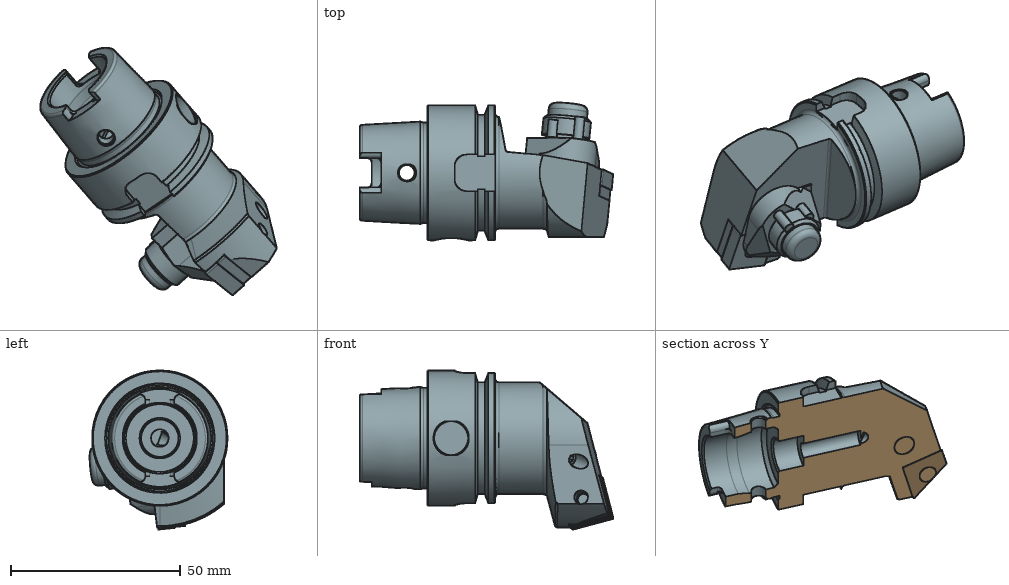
import cadquery as cq
import math


SHANK_LENGTH = 20.0
SHANK_TIP_RADIUS = 14.2
SHANK_TIP_ROUND = 0.8
TAPER_END_X = -2.1
TAPER_END_RADIUS = 15.15
RELIEF_START_X = -1.3
RELIEF_RADIUS = 14.9
MOUTH_RADIUS = 11.0
BORE_RADIUS = 10.5
MOUTH_CHAMFER = MOUTH_RADIUS - BORE_RADIUS
UNDERCUT_START_X = -12.5
UNDERCUT_RADIUS = 11.2
UNDERCUT_LEAD = 3.5
UNDERCUT_FLOOR_LEAD = 1.2
BORE_FLOOR_X = 0.0
BORE_FLOOR_RADIUS = 10.0
SOCKET_RADIUS = 6.0
SOCKET_CHAMFER = 0.5
SOCKET_FLOOR_X = 8.0
COOLANT_BORE_RADIUS = 2.6
KEYWAY_WIDTH = 8.6
TOP_KEYWAY_FLOOR_X = -13.7
BOTTOM_KEYWAY_FLOOR_X = -16.5
KEYWAY_FLOOR_ROUND = 1.2
KEYWAY_EDGE_ROUND = 1.6
KEYWAY_RIM_Z = 12.9
FLARE_OVERRUN = 2.0
ACCESS_HOLE_X = -6.1
ACCESS_HOLE_DIAMETER = 4.6
ACCESS_SINK_DIAMETER = 5.6
ACCESS_SINK_DEPTH = 0.5

FLANGE_RADIUS = 20.0
FLANGE_LENGTH = 20.0
FLANGE_CHAMFER = 0.3
FACE_RECESS_RADIUS = 16.2
FACE_RECESS_DEPTH = 0.5
GROOVE_RADIUS = 17.2
GROOVE_START_X = 14.05
GROOVE_FLOOR_START_X = 14.9
GROOVE_FLOOR_END_X = 16.85
GROOVE_END_X = 18.0
DRIVE_SLOT_START_X = 8.0
DRIVE_SLOT_WIDTH = 10.8
DRIVE_SLOT_CORNER = 3.6
CHIP_HOLE_X = 7.0
CHIP_HOLE_DIAMETER = 10.0
CHIP_HOLE_DEPTH = 4.6
CHIP_HOLE_CHAMFER = 0.25

NECK_RADIUS = 16.5
NECK_END_X = 34.0
NECK_ROUND = 1.1
DRIVE_SLOT_FLOOR_Z = NECK_RADIUS
HEAD_CONE_ANGLE = 15.0
HEAD_CONE_RADIUS = 30.0
HEAD_END_X = 60.0
HEAD_FRONT_Y = -19.0
HEAD_SHOULDER_Z = -2.0
HEAD_SHOULDER_RADIUS = abs(HEAD_FRONT_Y)
HEAD_BOTTOM_Z = -26.4
HEAD_BOTTOM_RADIUS = 29.1
HEAD_RIM_CHAMFER = 0.5
SLANT_START_X = 33.1
SLANT_ANGLE = 40.5
BACK_WALL_X = 22.8
BACK_WALL_DRAFT = 15.0
BACK_WALL_ROUND = 0.8

RAKE_SLOPE = 0.0963
APPROACH_ANGLE = 15.0
INSERT_SIDE = 12.7
INSERT_THICKNESS = 4.76
INSERT_CORNER = 0.4
SHIM_THICKNESS = 3.18
SHIM_MARGIN = 0.3
SEAT_FLOOR = -INSERT_THICKNESS - SHIM_THICKNESS
INSERT_STANDS_PROUD = 0.13
NOSE_POINT = cq.Vector(54.94, -0.45, -23.81)
HEAD_EDGE_SETBACK = 0.35
SHIM_PIN_DIAMETER = 5.0
SHIM_SCREW_DIAMETER = 3.4
SHIM_SCREW_HOLE_DIAMETER = 4.0
SHIM_SCREW_LENGTH = 4.5

CLAMP_AXIS_X = 40.0
CLAMP_AXIS_Z = -6.78
CLAMP_HEIGHT = 7.0
CLAMP_RADIUS = 9.5
CLAMP_NOSE_CENTRE = (3.7, 8.7)
CLAMP_NOSE_RADIUS = 7.0
CLAMP_TAIL_LENGTH = 11.3
CLAMP_TAIL_HALF_WIDTH = 6.5
CLAMP_SLOPE_HEADINGS_AND_SPANS = ((65.0, 9.9, 16.4), (15.0, 7.5, 14.0), (225.0, 5.4, 10.6))
CLAMP_SLOPE_FOOT = 0.5
COLLAR_GAP = 1.1
COLLAR_RADIUS = 7.08
COLLAR_HEIGHT = 5.7
COLLAR_CHAMFER = 0.9
CAP_RADIUS = 5.8
CAP_HEIGHT = 3.95
CAP_ROUND = 1.9
CLAMP_SCREW_RADIUS = 3.0
CLAMP_SCREW_DEPTH = 12.0
PIN_RADIUS = 1.5
PIN_CIRCLE_RADIUS = 7.0
PIN_ANGLES_AND_HEIGHTS = ((-125.0, 5.1), (-59.0, 6.7))

OUTLET_POINT = cq.Vector(44.6, HEAD_FRONT_Y, -6.9)
OUTLET_JUNCTION = cq.Vector(26.0, 0, 0)
OUTLET_DIAMETER = 4.0
OUTLET_OVERRUN = 4.0
PLUG_SETBACK = 3.4
PLUG_LENGTH = 4.0
PLUG_HEX = 2.0
PLUG_HEX_DEPTH = 2.0

LARGE = 60.0

seat_normal = cq.Vector(RAKE_SLOPE, 1, -RAKE_SLOPE).normalized()
seat_along = cq.Vector(1, -RAKE_SLOPE, 0).normalized()
seat_up = seat_along.cross(seat_normal)
approach = math.radians(APPROACH_ANGLE)
minor_edge = cq.Vector(
    -math.cos(approach),
    RAKE_SLOPE * (math.cos(approach) - math.sin(approach)),
    -math.sin(approach),
).normalized()

insert_plane = cq.Plane(NOSE_POINT, minor_edge, seat_normal)
back_origin = NOSE_POINT - seat_normal * INSERT_STANDS_PROUD
insert_centre = (INSERT_SIDE / 2, INSERT_SIDE / 2)

clamp_offset = cq.Vector(CLAMP_AXIS_X, NOSE_POINT.y, CLAMP_AXIS_Z) - NOSE_POINT
clamp_base_y = NOSE_POINT.y - clamp_offset.dot(seat_normal) / seat_normal.y
clamp_plane = cq.Plane(cq.Vector(CLAMP_AXIS_X, clamp_base_y, CLAMP_AXIS_Z), seat_along, seat_normal)
outward_selector = cq.selectors.DirectionMinMaxSelector(seat_normal)


def insert_box(x_range, y_range, z_range):
    """Box given by ranges in the insert frame."""
    spans = [high - low for low, high in (x_range, y_range, z_range)]
    corner = (x_range[0], y_range[0], z_range[0])
    return cq.Workplane(insert_plane).box(*spans, centered=False).translate(
        insert_plane.toWorldCoords(corner) - insert_plane.origin
    )


def seat_cylinder(plane, centre, radius, low, high):
    """Cylinder standing along the local z of a plane, from low to high."""
    return cq.Workplane(plane).center(*centre).workplane(offset=low).circle(radius).extrude(high - low)


def x_slab(x_start, x_end, z_start, z_end, width):
    """Box symmetric about Y = 0."""
    return cq.Workplane("XY").box(x_end - x_start, width, z_end - z_start).translate(
        ((x_start + x_end) / 2, 0, (z_start + z_end) / 2)
    )


def turned_holder():
    """Shank, flange and neck as one revolved profile."""
    round_mid = SHANK_TIP_ROUND * (1 - math.sqrt(0.5))
    neck_mid = NECK_ROUND * (1 - math.sqrt(0.5))
    profile = (
        cq.Workplane("XY")
        .moveTo(-SHANK_LENGTH, 0)
        .lineTo(-SHANK_LENGTH, SHANK_TIP_RADIUS - SHANK_TIP_ROUND)
        .threePointArc(
            (-SHANK_LENGTH + round_mid, SHANK_TIP_RADIUS - round_mid),
            (-SHANK_LENGTH + SHANK_TIP_ROUND, SHANK_TIP_RADIUS),
        )
        .lineTo(TAPER_END_X, TAPER_END_RADIUS)
        .lineTo(RELIEF_START_X, RELIEF_RADIUS)
        .lineTo(FACE_RECESS_DEPTH, RELIEF_RADIUS)
        .lineTo(FACE_RECESS_DEPTH, FACE_RECESS_RADIUS - FACE_RECESS_DEPTH)
        .lineTo(0, FACE_RECESS_RADIUS)
        .lineTo(0, FLANGE_RADIUS - FLANGE_CHAMFER)
        .lineTo(FLANGE_CHAMFER, FLANGE_RADIUS)
        .lineTo(GROOVE_START_X, FLANGE_RADIUS)
        .lineTo(GROOVE_FLOOR_START_X, GROOVE_RADIUS)
        .lineTo(GROOVE_FLOOR_END_X, GROOVE_RADIUS)
        .lineTo(GROOVE_END_X, FLANGE_RADIUS)
        .lineTo(FLANGE_LENGTH - FLANGE_CHAMFER, FLANGE_RADIUS)
        .lineTo(FLANGE_LENGTH, FLANGE_RADIUS - FLANGE_CHAMFER)
        .lineTo(FLANGE_LENGTH, NECK_RADIUS + NECK_ROUND)
        .threePointArc(
            (FLANGE_LENGTH + neck_mid, NECK_RADIUS + neck_mid),
            (FLANGE_LENGTH + NECK_ROUND, NECK_RADIUS),
        )
        .lineTo(NECK_END_X, NECK_RADIUS)
        .lineTo(NECK_END_X + NECK_ROUND, NECK_RADIUS + neck_mid)
        .lineTo(HEAD_END_X, NECK_RADIUS + neck_mid)
        .lineTo(HEAD_END_X, 0)
        .close()
    )
    return profile.revolve(360, (0, 0, 0), (1, 0, 0))


def head_block():
    """Widened head: cone-backed below the axis, flat at -Y, rounded over its shoulder."""
    cone_start_x = NECK_END_X + NECK_ROUND
    cone_end_x = cone_start_x + (HEAD_CONE_RADIUS - NECK_RADIUS) * math.tan(math.radians(HEAD_CONE_ANGLE))
    outline = [
        (cone_start_x, 0),
        (cone_start_x, -NECK_RADIUS),
        (cone_end_x, -HEAD_CONE_RADIUS),
        (HEAD_END_X, -HEAD_CONE_RADIUS),
        (HEAD_END_X, 0),
    ]
    cone_side = cq.Workplane("XZ").polyline(outline).close().revolve(360, (0, 0, 0), (1, 0, 0))
    front_half = cq.Workplane("XY").box(2 * LARGE, LARGE, 2 * LARGE).translate((0, -LARGE / 2, 0))
    cone_side = cone_side.intersect(front_half)
    flat_side = cq.Workplane("XZ").polyline(outline).close().extrude(-NECK_RADIUS)

    section = cq.Workplane("YZ").center(0, HEAD_SHOULDER_Z).circle(HEAD_SHOULDER_RADIUS).extrude(HEAD_END_X)
    lower = x_slab(0, HEAD_END_X, -HEAD_CONE_RADIUS, HEAD_SHOULDER_Z, 2 * HEAD_SHOULDER_RADIUS)
    bottom_arc = (
        cq.Workplane("YZ")
        .center(0, HEAD_BOTTOM_Z + HEAD_BOTTOM_RADIUS)
        .circle(HEAD_BOTTOM_RADIUS)
        .extrude(HEAD_END_X)
    )
    head = cone_side.union(flat_side).intersect(section.union(lower)).intersect(bottom_arc)
    rim_point = (cone_end_x, HEAD_FRONT_Y / 2, HEAD_BOTTOM_Z)
    return head.edges(cq.selectors.NearestToPointSelector(rim_point)).chamfer(HEAD_RIM_CHAMFER)


def slant_cut():
    """Wedge taken off the top of the head."""
    drop = math.tan(math.radians(SLANT_ANGLE)) * LARGE
    return (
        cq.Workplane("XZ")
        .polyline(
            [
                (SLANT_START_X, NECK_RADIUS),
                (SLANT_START_X + LARGE, NECK_RADIUS - drop),
                (SLANT_START_X + LARGE, LARGE),
                (SLANT_START_X, LARGE),
            ]
        )
        .close()
        .extrude(LARGE, both=True)
    )


def back_cut():
    """Relief of the +Y side, its floor parallel to the rake face."""
    wall_offset = (BACK_WALL_X - back_origin.x) / seat_along.x
    corner = back_origin + seat_along * wall_offset
    lean = LARGE * math.tan(math.radians(BACK_WALL_DRAFT))
    return (
        cq.Workplane(cq.Plane(back_origin, seat_along, seat_up))
        .polyline([(wall_offset, 0), (LARGE, 0), (LARGE, LARGE), (wall_offset - lean, LARGE)])
        .close()
        .extrude(LARGE, both=True)
        .edges(cq.selectors.NearestToPointSelector(corner.toTuple()))
        .fillet(BACK_WALL_ROUND)
    )


def shank_bore():
    """Stepped bore of the hollow shank and the coolant bore behind it."""
    outline = [
        (-SHANK_LENGTH, 0),
        (-SHANK_LENGTH, MOUTH_RADIUS),
        (-SHANK_LENGTH + MOUTH_CHAMFER, BORE_RADIUS),
        (UNDERCUT_START_X, BORE_RADIUS),
        (UNDERCUT_START_X + UNDERCUT_LEAD, UNDERCUT_RADIUS),
        (BORE_FLOOR_X - UNDERCUT_FLOOR_LEAD, UNDERCUT_RADIUS),
        (BORE_FLOOR_X, BORE_FLOOR_RADIUS),
        (BORE_FLOOR_X, SOCKET_RADIUS),
        (BORE_FLOOR_X + SOCKET_CHAMFER, SOCKET_RADIUS - SOCKET_CHAMFER),
        (SOCKET_FLOOR_X, SOCKET_RADIUS - SOCKET_CHAMFER),
        (SOCKET_FLOOR_X, COOLANT_BORE_RADIUS),
        (OUTLET_JUNCTION.x, COOLANT_BORE_RADIUS),
        (OUTLET_JUNCTION.x, 0),
    ]
    return cq.Workplane("XY").polyline(outline).close().revolve(360, (0, 0, 0), (1, 0, 0))


def shank_keyway(floor_x, side):
    """Open keyway through the shank wall on the +Z or -Z side, flared at its outer edges."""
    start_x = -SHANK_LENGTH - KEYWAY_WIDTH
    slot = x_slab(start_x, floor_x, 0, LARGE, KEYWAY_WIDTH).edges(">X and |Z").fillet(KEYWAY_FLOOR_ROUND)
    half = KEYWAY_WIDTH / 2
    flare_half = half + KEYWAY_EDGE_ROUND
    flare_base = KEYWAY_RIM_Z - KEYWAY_EDGE_ROUND
    mid = KEYWAY_EDGE_ROUND * (1 - math.sqrt(0.5))
    flare = (
        cq.Workplane("YZ", origin=(start_x, 0, 0))
        .moveTo(-half, flare_base)
        .lineTo(half, flare_base)
        .threePointArc((half + mid, KEYWAY_RIM_Z - mid), (flare_half, KEYWAY_RIM_Z))
        .lineTo(flare_half, SHANK_TIP_RADIUS + FLARE_OVERRUN)
        .lineTo(-flare_half, SHANK_TIP_RADIUS + FLARE_OVERRUN)
        .lineTo(-flare_half, KEYWAY_RIM_Z)
        .threePointArc((-half - mid, KEYWAY_RIM_Z - mid), (-half, flare_base))
        .close()
        .extrude(floor_x - start_x)
    )
    keyway = slot.union(flare)
    return keyway if side > 0 else keyway.mirror("XY")


def drive_slots():
    """Flat-floored driving slots at the top and bottom of the flange."""
    slot = x_slab(DRIVE_SLOT_START_X, FLANGE_LENGTH, DRIVE_SLOT_FLOOR_Z, LARGE, DRIVE_SLOT_WIDTH)
    slot = slot.edges("<X and |Z").fillet(DRIVE_SLOT_CORNER)
    return slot.union(slot.mirror("XY"))


def access_holes():
    """Radial hole through both shank walls, countersunk on the outside."""
    hole = cq.Workplane("XY").circle(ACCESS_HOLE_DIAMETER / 2).extrude(LARGE, both=True)
    taper_slope = (TAPER_END_RADIUS - SHANK_TIP_RADIUS) / (TAPER_END_X + SHANK_LENGTH - SHANK_TIP_ROUND)
    surface_radius = TAPER_END_RADIUS - taper_slope * (TAPER_END_X - ACCESS_HOLE_X)
    sink = (
        cq.Workplane("XY", origin=(0, 0, surface_radius - ACCESS_SINK_DEPTH))
        .circle(ACCESS_HOLE_DIAMETER / 2)
        .workplane(offset=ACCESS_SINK_DEPTH)
        .circle(ACCESS_SINK_DIAMETER / 2)
        .loft()
    )
    return hole.union(sink).union(sink.mirror("XY")).translate((ACCESS_HOLE_X, 0, 0))


def chip_hole():
    """Blind pocket for a data chip in the -Y side of the flange."""
    rim = CHIP_HOLE_DIAMETER / 2 + CHIP_HOLE_CHAMFER
    edge_depth = math.sqrt(FLANGE_RADIUS**2 - (CHIP_HOLE_DIAMETER / 2) ** 2)
    axis_plane = cq.Workplane("XZ", origin=(CHIP_HOLE_X, 0, 0))
    floor = axis_plane.workplane(offset=FLANGE_RADIUS - CHIP_HOLE_DEPTH)
    pocket = floor.circle(CHIP_HOLE_DIAMETER / 2).extrude(LARGE)
    lip = axis_plane.workplane(offset=edge_depth).circle(rim).extrude(LARGE)
    return pocket.union(lip)


outlet_axis = (OUTLET_JUNCTION - OUTLET_POINT).normalized()
outlet_plane = cq.Plane(OUTLET_POINT, cq.Vector(0, 0, 1).cross(outlet_axis), outlet_axis)
outlet_length = (OUTLET_JUNCTION - OUTLET_POINT).Length


def insert_pocket():
    """Clearance along both cutting edges and the seat for the shim and insert."""
    setback = HEAD_EDGE_SETBACK
    open_corner = (-INSERT_SIDE, INSERT_SIDE)
    main_edge_side = insert_box((-LARGE, setback), (-LARGE, LARGE), (-LARGE, LARGE))
    minor_edge_side = insert_box((-LARGE, INSERT_SIDE), (-LARGE, setback), (-LARGE, LARGE))
    seat = insert_box(open_corner, open_corner, (SEAT_FLOOR, LARGE))
    return main_edge_side.union(minor_edge_side).union(seat)


def shim_screw_hole():
    """Hole for the shim screw, wider from the screw tip out to the -Y face."""
    screw_end = SEAT_FLOOR - SHIM_SCREW_LENGTH
    tapped = seat_cylinder(insert_plane, insert_centre, SHIM_SCREW_DIAMETER / 2, screw_end, SEAT_FLOOR)
    relief = seat_cylinder(insert_plane, insert_centre, SHIM_SCREW_HOLE_DIAMETER / 2, -LARGE, screw_end)
    return tapped.union(relief)


def outlet_hole():
    """Tilted coolant hole from the -Y face of the head to the coolant bore."""
    return seat_cylinder(outlet_plane, (0, 0), OUTLET_DIAMETER / 2, -OUTLET_OVERRUN, outlet_length)


def clamp_screw_hole():
    return seat_cylinder(clamp_plane, (0, 0), CLAMP_SCREW_RADIUS, -CLAMP_SCREW_DEPTH, CLAMP_HEIGHT)


def make_holder():
    holder = turned_holder().union(head_block())
    cuts = [
        slant_cut(),
        back_cut(),
        insert_pocket(),
        shank_bore(),
        shank_keyway(TOP_KEYWAY_FLOOR_X, 1),
        shank_keyway(BOTTOM_KEYWAY_FLOOR_X, -1),
        drive_slots(),
        access_holes(),
        chip_hole(),
        outlet_hole(),
        shim_screw_hole(),
        clamp_screw_hole(),
    ]
    for cut in cuts:
        holder = holder.cut(cut)
    return holder


def seat_plate(low, high, margin):
    """Square plate in the insert seat with rounded corners and a hole for the shim screw."""
    span = (margin, INSERT_SIDE)
    plate = insert_box(span, span, (low, high))
    plate = cq.Workplane(insert_plane).add(plate.val()).edges(cq.selectors.ParallelDirSelector(seat_normal))
    plate = plate.fillet(INSERT_CORNER)
    return plate.cut(seat_cylinder(insert_plane, insert_centre, SHIM_PIN_DIAMETER / 2, low, high))


def make_insert():
    return seat_plate(-INSERT_THICKNESS, 0, 0)


def make_shim():
    return seat_plate(SEAT_FLOOR, -INSERT_THICKNESS, SHIM_MARGIN)


def make_shim_screw():
    head = seat_cylinder(insert_plane, insert_centre, SHIM_PIN_DIAMETER / 2, SEAT_FLOOR, 0)
    thread = seat_cylinder(
        insert_plane, insert_centre, SHIM_SCREW_DIAMETER / 2, SEAT_FLOOR - SHIM_SCREW_LENGTH, SEAT_FLOOR
    )
    return head.union(thread)


def clamp_web():
    """Straight-sided block tangent to the pad and to the nose of the clamp."""
    nose_x, nose_y = CLAMP_NOSE_CENTRE
    distance = math.hypot(nose_x, nose_y)
    lean = math.asin((CLAMP_RADIUS - CLAMP_NOSE_RADIUS) / distance)
    heading = math.atan2(nose_y, nose_x)
    outline = []
    for side in (1, -1):
        turn = heading + side * (math.pi / 2 - lean)
        ends = [
            (CLAMP_RADIUS * math.cos(turn), CLAMP_RADIUS * math.sin(turn)),
            (nose_x + CLAMP_NOSE_RADIUS * math.cos(turn), nose_y + CLAMP_NOSE_RADIUS * math.sin(turn)),
        ]
        outline += ends if side > 0 else ends[::-1]
    return cq.Workplane(clamp_plane).polyline(outline).close().extrude(CLAMP_HEIGHT)


def clamp_tail():
    """Square tail toward the shank."""
    outline = [
        (0, CLAMP_TAIL_HALF_WIDTH),
        (0, -CLAMP_TAIL_HALF_WIDTH),
        (-CLAMP_TAIL_LENGTH, -CLAMP_TAIL_HALF_WIDTH),
        (-CLAMP_TAIL_LENGTH, CLAMP_TAIL_HALF_WIDTH),
    ]
    return cq.Workplane(clamp_plane).polyline(outline).close().extrude(CLAMP_HEIGHT)


def clamp_slope(heading_degrees, start, end):
    """Wedge that slopes the clamp top down along a heading, between two distances from the screw axis."""
    heading = math.radians(heading_degrees)
    forward = clamp_plane.xDir * math.cos(heading) + clamp_plane.yDir * math.sin(heading)
    slope_plane = cq.Plane(clamp_plane.origin, forward, forward.cross(seat_normal))
    outline = [
        (start, CLAMP_HEIGHT),
        (end, CLAMP_SLOPE_FOOT),
        (LARGE, CLAMP_SLOPE_FOOT),
        (LARGE, CLAMP_HEIGHT),
    ]
    return cq.Workplane(slope_plane).polyline(outline).close().extrude(LARGE, both=True)


def make_clamp():
    """Round pad under the screw, a tail toward the shank and a sloped nose over the insert."""
    pad = seat_cylinder(clamp_plane, (0, 0), CLAMP_RADIUS, 0, CLAMP_HEIGHT)
    nose = seat_cylinder(clamp_plane, CLAMP_NOSE_CENTRE, CLAMP_NOSE_RADIUS, 0, CLAMP_HEIGHT)
    clamp = pad.union(clamp_web()).union(nose).union(clamp_tail())
    for heading, start, end in CLAMP_SLOPE_HEADINGS_AND_SPANS:
        clamp = clamp.cut(clamp_slope(heading, start, end))
    return clamp.cut(seat_cylinder(clamp_plane, (0, 0), CLAMP_SCREW_RADIUS, 0, CLAMP_HEIGHT))


collar_base = CLAMP_HEIGHT + COLLAR_GAP
collar_top = collar_base + COLLAR_HEIGHT


def make_pins():
    """Upright pins standing on the clamp, half sunk in the collar rim."""
    pins = []
    for angle, height in PIN_ANGLES_AND_HEIGHTS:
        turn = math.radians(angle)
        centre = (PIN_CIRCLE_RADIUS * math.cos(turn), PIN_CIRCLE_RADIUS * math.sin(turn))
        pins.append(seat_cylinder(clamp_plane, centre, PIN_RADIUS, CLAMP_HEIGHT, CLAMP_HEIGHT + height))
    return pins


def make_collar(pins):
    collar = seat_cylinder(clamp_plane, (0, 0), COLLAR_RADIUS, collar_base, collar_top)
    collar = collar.faces(outward_selector).edges().chamfer(COLLAR_CHAMFER)
    collar = collar.union(seat_cylinder(clamp_plane, (0, 0), CAP_RADIUS, CLAMP_HEIGHT, collar_base))
    collar = collar.cut(seat_cylinder(clamp_plane, (0, 0), CLAMP_SCREW_RADIUS, CLAMP_HEIGHT, collar_top))
    for pin in pins:
        collar = collar.cut(pin)
    return collar


def make_clamp_screw():
    cap = seat_cylinder(clamp_plane, (0, 0), CAP_RADIUS, collar_top, collar_top + CAP_HEIGHT)
    cap = cap.faces(outward_selector).edges().fillet(CAP_ROUND)
    return cap.union(seat_cylinder(clamp_plane, (0, 0), CLAMP_SCREW_RADIUS, -CLAMP_SCREW_DEPTH, collar_top))


def make_plug():
    plug = seat_cylinder(
        outlet_plane, (0, 0), OUTLET_DIAMETER / 2, PLUG_SETBACK, PLUG_SETBACK + PLUG_LENGTH
    )
    socket = (
        cq.Workplane(outlet_plane)
        .workplane(offset=PLUG_SETBACK)
        .polygon(6, PLUG_HEX, circumscribed=True)
        .extrude(PLUG_HEX_DEPTH)
    )
    return plug.cut(socket)


pins = make_pins()
bodies = [
    make_holder(),
    make_insert(),
    make_shim(),
    make_shim_screw(),
    make_clamp(),
    make_collar(pins),
    make_clamp_screw(),
    *pins,
    make_plug(),
]
result = cq.Compound.makeCompound([solid for body in bodies for solid in body.solids().vals()])